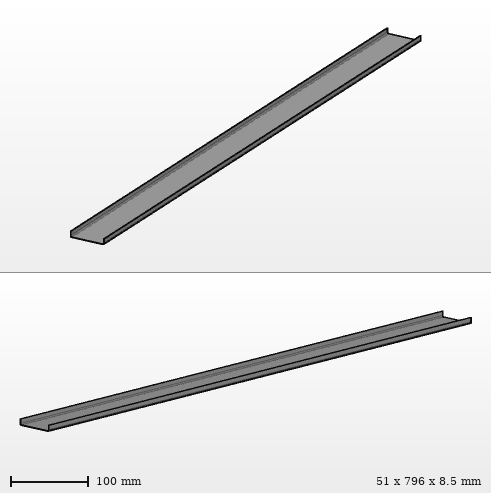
import cadquery as cq

width = 51.0
length = 796.0
height = 8.5
thickness = 1.2
inner_bend_radius = 1.2
outer_bend_radius = inner_bend_radius + thickness


def rounded_bar(bar_width, bottom, bend_radius):
    """Full-length bar from bottom to the rim, with its two lower long edges rounded."""
    bar_height = height - bottom
    return (
        cq.Workplane("XY")
        .box(bar_width, length, bar_height, centered=(True, True, False))
        .edges("|Y and <Z")
        .fillet(bend_radius)
        .translate((0, 0, bottom))
    )


outer_body = rounded_bar(width, 0, outer_bend_radius)
channel_space = rounded_bar(width - 2 * thickness, thickness, inner_bend_radius)

result = outer_body.cut(channel_space)